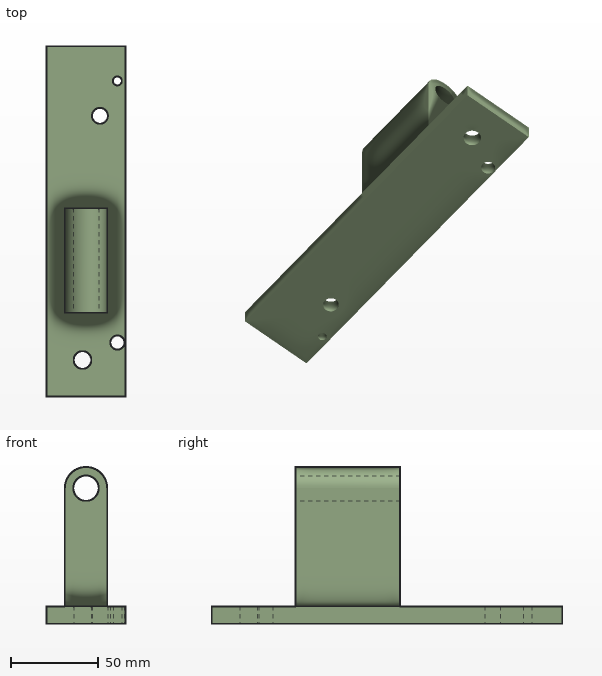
import cadquery as cq

TOTAL_HEIGHT = 90.0

PIN_HOLE_DIAMETER = 14.43
PIN_HOLE_WALL = 5.0
LUG_LENGTH = 60.0
LUG_START_Y = 48.0
LUG_WIDTH = PIN_HOLE_DIAMETER + 2 * PIN_HOLE_WALL
LUG_RADIUS = LUG_WIDTH / 2
PIN_AXIS_Z = TOTAL_HEIGHT - LUG_RADIUS

SIDE_LEDGE = 10.5
PLATE_WIDTH = LUG_WIDTH + 2 * SIDE_LEDGE
PLATE_LENGTH = 201.0
PLATE_THICKNESS = 10.0

PLATE_HOLES = [
    (10.0, -2.0, 21.0),
    (8.0, 18.0, 31.0),
    (9.0, 8.0, 161.0),
    (5.0, 18.0, 181.0),
]


def make_plate():
    plate = cq.Workplane("XY").box(
        PLATE_WIDTH, PLATE_LENGTH, PLATE_THICKNESS, centered=(True, False, False)
    )
    for diameter, x, y in PLATE_HOLES:
        hole = cq.Workplane("XY").center(x, y).circle(diameter / 2).extrude(PLATE_THICKNESS)
        plate = plate.cut(hole)
    return plate


def make_lug():
    section_plane = cq.Workplane("XZ", origin=(0, LUG_START_Y, 0))
    body = (
        section_plane.moveTo(-LUG_RADIUS, PLATE_THICKNESS)
        .lineTo(LUG_RADIUS, PLATE_THICKNESS)
        .lineTo(LUG_RADIUS, PIN_AXIS_Z)
        .threePointArc((0, TOTAL_HEIGHT), (-LUG_RADIUS, PIN_AXIS_Z))
        .close()
        .extrude(-LUG_LENGTH)
    )
    pin_hole = (
        section_plane.center(0, PIN_AXIS_Z)
        .circle(PIN_HOLE_DIAMETER / 2)
        .extrude(-LUG_LENGTH)
    )
    return body.cut(pin_hole)


result = make_plate().union(make_lug())